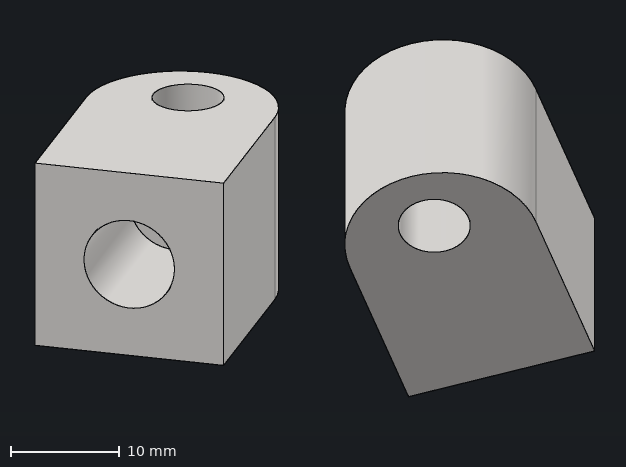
import cadquery as cq

length = 26.0
width = 18.0
pin_hole_diameter = 6.6
pin_hole_setback = 6.5
bore_diameter = 8.63
bore_depth = 15.0

height = width
end_radius = width / 2
straight_length = length - end_radius
pin_hole_y = length - pin_hole_setback


def make_body():
    """Square block with a full round at its +Y end."""
    return (
        cq.Workplane("XY")
        .moveTo(-width / 2, 0)
        .lineTo(width / 2, 0)
        .lineTo(width / 2, straight_length)
        .threePointArc((0, length), (-width / 2, straight_length))
        .close()
        .extrude(height)
    )


def make_pin_hole():
    """Vertical cylinder through the rounded end."""
    return cq.Workplane("XY").center(0, pin_hole_y).circle(pin_hole_diameter / 2).extrude(height)


def make_bore():
    """Flat-bottomed cylinder running along +Y from the centre of the flat face."""
    return (
        cq.Workplane("XZ")
        .center(0, height / 2)
        .circle(bore_diameter / 2)
        .extrude(-bore_depth)
    )


result = make_body().cut(make_pin_hole()).cut(make_bore())